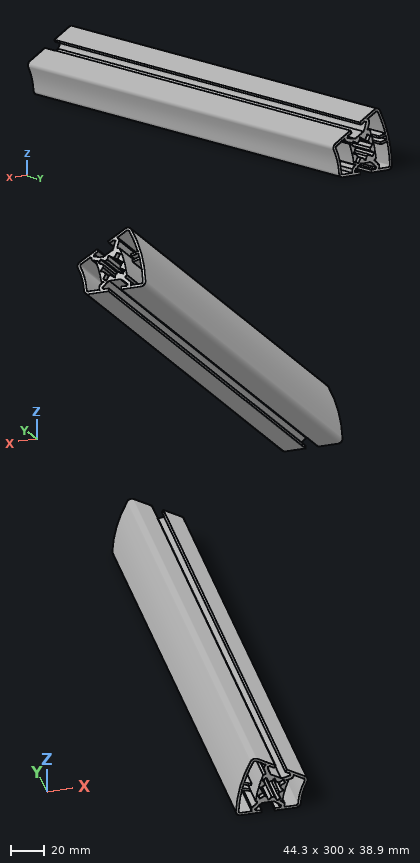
import cadquery as cq
import math


LENGTH = 300.0
SECTOR_ANGLE = 30.0
OUTER_RADIUS = 80.0
INNER_RADIUS = 40.0
CORNER_RADIUS = 3.0
WALL = 1.8
MID_RADIUS = (OUTER_RADIUS + INNER_RADIUS) / 2
HALF_ANGLE = SECTOR_ANGLE / 2

SLOT_MOUTH_WIDTH = 8.0
LIP_HALF = 7.2
SLOT_WIDEST_HALF = 8.0
SLOT_WIDEST_HEIGHT = 2.7
SLOT_SHOULDER_HALF = 5.5
SLOT_SHOULDER_HEIGHT = 5.5
SLOT_FLOOR_HALF = 3.5
SLOT_DEPTH = 6.5

HOUSING_HALF = 10.2
HOUSING_SIDE_HEIGHT = 4.2
HOUSING_TOP_HALF = 6.3
HOUSING_TOP_HEIGHT = 7.8

CORE_HALF_THICKNESS = 8.5
CORE_CORNER_CHAMFER = 2.0
BORE_RADIUS = 5.7
NOTCH_COUNT = 8
NOTCH_START = 4.8
CORNER_NOTCH_WIDTH = 2.5
CORNER_NOTCH_REACH = 9.0
VEE_NOTCH_HALF = 2.0
VEE_NOTCH_REACH = 7.5

FIN_THICKNESS = 1.5
FIN_GAP = 2.5
FIN_TIP_RADIUS = 73.5


def polar(radius, angle):
    """Point at a radius from the ring centre, angle measured up from the lower face."""
    turn = math.radians(angle)
    return (-radius * math.cos(turn), radius * math.sin(turn))


def extrude(outline):
    return outline.extrude(-LENGTH)


def turn_about_ring(body, angle):
    """Swing a body up from the lower face around the ring centre."""
    return body.rotate((0, 0, 0), (0, 1, 0), angle)


def ring_sector(inner, outer, face_inset):
    """Sector whose radial faces are moved inwards by face_inset."""
    inner_tilt = math.degrees(math.asin(face_inset / inner))
    outer_tilt = math.degrees(math.asin(face_inset / outer))
    return extrude(
        cq.Workplane("XZ")
        .moveTo(*polar(outer, outer_tilt))
        .threePointArc(polar(outer, HALF_ANGLE), polar(outer, SECTOR_ANGLE - outer_tilt))
        .lineTo(*polar(inner, SECTOR_ANGLE - inner_tilt))
        .threePointArc(polar(inner, HALF_ANGLE), polar(inner, inner_tilt))
        .close()
    )


def symmetric_prism(right_half):
    """Prism on the lower face, mirrored about the middle of that face."""
    right = [(-MID_RADIUS + half, height) for half, height in right_half]
    left = [(-MID_RADIUS - half, height) for half, height in reversed(right_half)]
    return extrude(cq.Workplane("XZ").polyline(right + left).close())


def on_both_faces(body):
    """Add the mirror image of a body across the middle radial plane of the sector."""
    return body.union(turn_about_ring(body.mirror("XY"), SECTOR_ANGLE))


def shell():
    outside = ring_sector(INNER_RADIUS, OUTER_RADIUS, 0).edges("|Y").fillet(CORNER_RADIUS)
    inside = ring_sector(INNER_RADIUS + WALL, OUTER_RADIUS - WALL, WALL)
    inside = inside.edges("|Y").fillet(CORNER_RADIUS - WALL)
    return outside.cut(inside)


def slot():
    return symmetric_prism([
        (SLOT_MOUTH_WIDTH / 2, 0),
        (SLOT_MOUTH_WIDTH / 2, WALL),
        (LIP_HALF, WALL),
        (SLOT_WIDEST_HALF, SLOT_WIDEST_HEIGHT),
        (SLOT_SHOULDER_HALF, SLOT_SHOULDER_HEIGHT),
        (SLOT_FLOOR_HALF, SLOT_DEPTH),
    ])


def slot_housing():
    return symmetric_prism([
        (HOUSING_HALF, 0),
        (HOUSING_HALF, HOUSING_SIDE_HEIGHT),
        (HOUSING_TOP_HALF, HOUSING_TOP_HEIGHT),
    ])


def core():
    """Band between the two slot floors, chamfered where it nears the outer wall."""
    band = ring_sector(MID_RADIUS - CORE_HALF_THICKNESS, MID_RADIUS + CORE_HALF_THICKNESS, SLOT_DEPTH)
    return band.edges("|Y and (<X or >Z)").chamfer(CORE_CORNER_CHAMFER)


def bore():
    centre = (-MID_RADIUS, 0)
    corner_notch = extrude(
        cq.Workplane("XZ").center(*centre)
        .rect(2 * CORNER_NOTCH_REACH, CORNER_NOTCH_WIDTH)
    )
    vee_notch = extrude(
        cq.Workplane("XZ").center(*centre).polyline([
            (NOTCH_START, -VEE_NOTCH_HALF),
            (VEE_NOTCH_REACH, 0),
            (NOTCH_START, VEE_NOTCH_HALF),
        ]).close()
    )
    hole = extrude(cq.Workplane("XZ").center(*centre).circle(BORE_RADIUS))
    axis = ((-MID_RADIUS, 0, 0), (-MID_RADIUS, 1, 0))
    pitch = 360 / NOTCH_COUNT
    for index in range(0, NOTCH_COUNT, 2):
        hole = hole.union(vee_notch.rotate(*axis, index * pitch))
    for index in (1, 3):
        hole = hole.union(corner_notch.rotate(*axis, index * pitch))
    return turn_about_ring(hole, HALF_ANGLE)


def fins():
    root_radius = OUTER_RADIUS - WALL / 2
    fin_offset = (FIN_GAP + FIN_THICKNESS) / 2
    middle_radius = (root_radius + FIN_TIP_RADIUS) / 2
    pair = extrude(
        cq.Workplane("XZ")
        .pushPoints([(-middle_radius, offset) for offset in (-fin_offset, fin_offset)])
        .rect(root_radius - FIN_TIP_RADIUS, FIN_THICKNESS)
    )
    return turn_about_ring(pair, HALF_ANGLE)


result = (
    shell()
    .union(on_both_faces(slot_housing()))
    .union(core())
    .union(fins())
    .cut(on_both_faces(slot()))
    .cut(bore())
)